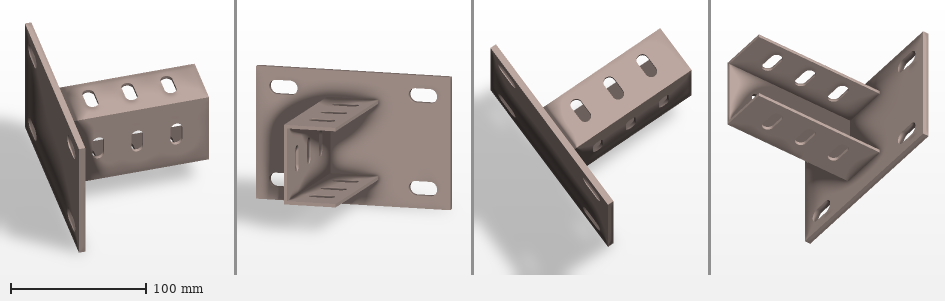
import cadquery as cq

plate_width = 150.0
plate_height = 100.0
plate_thickness = 5.0
plate_slot_length = 22.0
plate_slot_width = 11.0
plate_slot_spacing_x = 108.0
plate_slot_spacing_z = 70.0

total_depth = 115.0
arm_length = total_depth - plate_thickness
arm_width = 40.0
arm_height = 60.0
wall = 2.5

arm_slot_length = 20.0
arm_slot_width = 9.0
arm_slot_count = 3
arm_slot_pitch = 30.0
end_to_first_slot = 25.0
flange_slot_x = -2.0


def make_plate():
    """Upright plate with its front face on Y = 0 and a slot near each corner."""
    plate = cq.Workplane("XY").box(
        plate_width, plate_thickness, plate_height, centered=(True, False, True)
    )
    slots = (
        cq.Workplane("XZ")
        .rarray(plate_slot_spacing_x, plate_slot_spacing_z, 2, 2)
        .slot2D(plate_slot_length, plate_slot_width)
        .extrude(-plate_thickness)
    )
    return plate.cut(slots)


def make_channel():
    """C-shaped arm standing on the back face of the plate."""
    outer = cq.Workplane("XY").box(
        arm_width, arm_length, arm_height, centered=(True, False, True)
    )
    hollow = (
        cq.Workplane("XY")
        .box(arm_width, arm_length, arm_height - 2 * wall, centered=(True, False, True))
        .translate((-wall, 0, 0))
    )
    return outer.cut(hollow).translate((0, plate_thickness, 0))


def cut_arm_slots(arm):
    """Cut a row of slots through both flanges and a matching row through the web."""
    for index in range(arm_slot_count):
        slot_y = total_depth - end_to_first_slot - index * arm_slot_pitch
        flange_slot = (
            cq.Workplane("XY")
            .center(flange_slot_x, slot_y)
            .slot2D(arm_slot_length, arm_slot_width)
            .extrude(arm_height / 2, both=True)
        )
        web_slot = (
            cq.Workplane("YZ")
            .center(slot_y, 0)
            .slot2D(arm_slot_length, arm_slot_width, angle=90)
            .extrude(arm_width / 2)
        )
        arm = arm.cut(flange_slot).cut(web_slot)
    return arm


result = make_plate().union(cut_arm_slots(make_channel()))